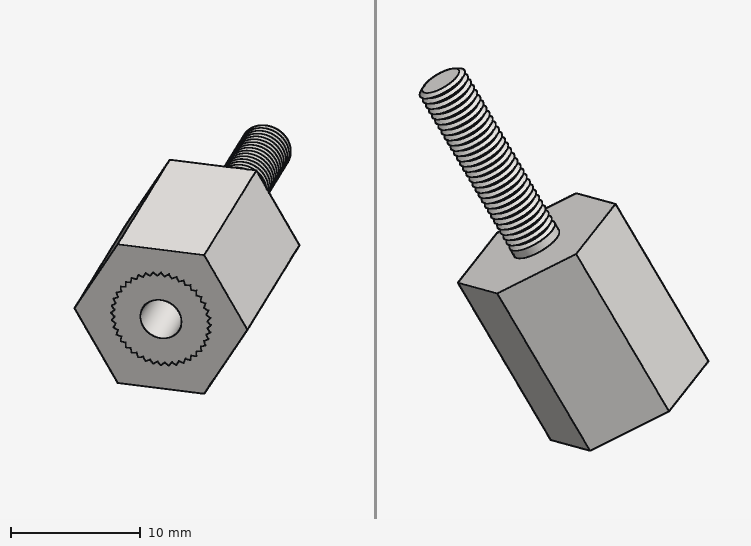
import cadquery as cq
import math

HEX_FLATS = 12.0
HEX_CORNERS = HEX_FLATS / math.cos(math.pi / 6)
HOUSING_LENGTH = 15.0
TOTAL_LENGTH = 30.5

TOOTH_COUNT = 40
KNURL_TIP_DIAMETER = 8.0
KNURL_ROOT_DIAMETER = 7.45
SLEEVE_DIAMETER = 7
BORE_DIAMETER = 3.3
INSERT_DEPTH = HOUSING_LENGTH / 2

THREAD_DIAMETER = 4.0
THREAD_ROOT_DIAMETER = 3.23
THREAD_LENGTH = 14.75
CREST_COUNT = 29
THREAD_PITCH = THREAD_LENGTH / (CREST_COUNT + 1 / 2)
STUD_EMBEDMENT = THREAD_DIAMETER
STUD_START = HOUSING_LENGTH - STUD_EMBEDMENT
THREAD_START = TOTAL_LENGTH - THREAD_LENGTH


def cylinder_along_y(diameter, start, end):
    """Solid cylinder on the Y axis between two Y positions."""
    plane = cq.Plane(origin=(0, start, 0), xDir=(1, 0, 0), normal=(0, 1, 0))
    return cq.Workplane(plane).circle(diameter / 2).extrude(end - start)


def knurl_envelope():
    """Toothed prism from the front face of the housing to the bottom of the insert."""
    points = []
    for step in range(2 * TOOTH_COUNT):
        diameter = KNURL_ROOT_DIAMETER if step % 2 else KNURL_TIP_DIAMETER
        angle = math.pi * step / TOOTH_COUNT
        points.append((diameter / 2 * math.cos(angle), diameter / 2 * math.sin(angle)))
    return cq.Workplane("XZ").polyline(points).close().extrude(-INSERT_DEPTH)


def make_insert():
    """Bored sleeve carrying a ring of knurl teeth; the two keep separate end faces."""
    sleeve_blank = cylinder_along_y(SLEEVE_DIAMETER, 0, INSERT_DEPTH)
    bore = cylinder_along_y(BORE_DIAMETER, 0, INSERT_DEPTH)
    knurl_ring = knurl_envelope().cut(sleeve_blank)
    sleeve = sleeve_blank.cut(bore)
    return knurl_ring.union(sleeve, clean=False)


def make_stud():
    """Revolved stud: embedded plain shank, then ring-shaped thread crests."""
    crest_radius = THREAD_DIAMETER / 2
    root_radius = THREAD_ROOT_DIAMETER / 2

    profile = [(0, STUD_START), (crest_radius, STUD_START), (crest_radius, THREAD_START)]
    for index in range(CREST_COUNT):
        root_position = THREAD_START + (index + 1 / 2) * THREAD_PITCH
        profile.append((root_radius, root_position))
        profile.append((crest_radius, root_position + THREAD_PITCH / 2))
    profile.append((root_radius, TOTAL_LENGTH))
    profile.append((0, TOTAL_LENGTH))
    return cq.Workplane("XY").polyline(profile).close().revolve(360, (0, 0, 0), (0, 1, 0))


def make_housing():
    """Hexagonal prism with matching recesses for the insert and the stud."""
    prism = cq.Workplane("XZ").polygon(6, HEX_CORNERS).extrude(-HOUSING_LENGTH)
    stud_recess = cylinder_along_y(THREAD_DIAMETER, STUD_START, HOUSING_LENGTH)
    return prism.cut(knurl_envelope()).cut(stud_recess)


housing = make_housing().solids()
insert = make_insert().solids()
stud = make_stud().solids()

result = cq.Compound.makeCompound([housing.val(), insert.val(), stud.val()])